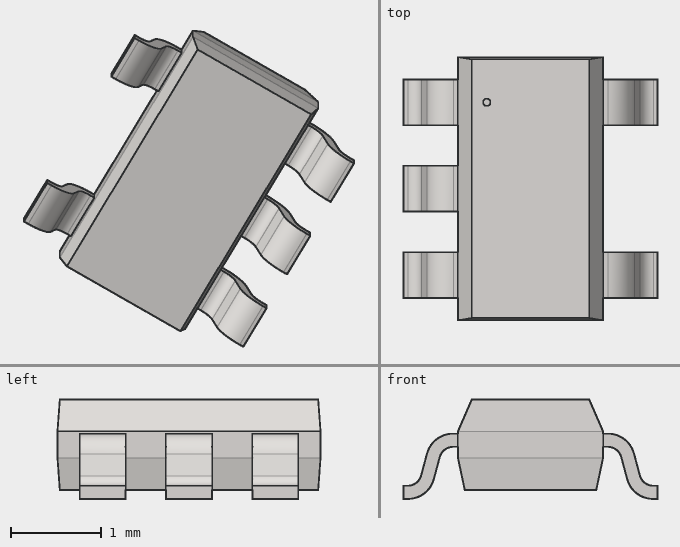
import cadquery as cq
import math

OVERALL_SPAN = 2.8
OVERALL_HEIGHT = 1.1

BODY_WIDTH = 1.6
BODY_LENGTH = 2.9
STANDOFF = 0.1
BELT_BOTTOM = 0.455
BELT_TOP = 0.745
TOP_INSET_X = 0.155
BOTTOM_INSET_X = 0.075
INSET_Y = 0.025

LEAD_WIDTH = 0.508
LEAD_THICKNESS = 0.148
LEAD_TOP = 0.722
LEAD_PITCH = 0.95
LEAD_SLOPE = math.radians(75)
BEND_INNER_RADIUS = 0.15
BEND_RADIUS = BEND_INNER_RADIUS + LEAD_THICKNESS / 2
FOOT_FLAT = 0.05

MARK_DIAMETER = 0.08
MARK_DEPTH = 0.03
MARK_X = -0.48
MARK_Y = LEAD_PITCH


def make_frustum(start_z, end_z, inset_x):
    """Half of the housing, shrinking from the belt outline at start_z to end_z."""
    return (
        cq.Workplane("XY")
        .workplane(offset=start_z)
        .rect(BODY_WIDTH, BODY_LENGTH)
        .workplane(offset=end_z - start_z)
        .rect(BODY_WIDTH - 2 * inset_x, BODY_LENGTH - 2 * INSET_Y)
        .loft(ruled=True)
    )


def make_mark():
    return (
        cq.Workplane("XY")
        .workplane(offset=OVERALL_HEIGHT - MARK_DEPTH)
        .center(MARK_X, MARK_Y)
        .circle(MARK_DIAMETER / 2)
        .extrude(MARK_DEPTH)
    )


def make_housing():
    belt = (
        cq.Workplane("XY")
        .workplane(offset=BELT_BOTTOM)
        .rect(BODY_WIDTH, BODY_LENGTH)
        .extrude(BELT_TOP - BELT_BOTTOM)
    )
    upper_half = make_frustum(BELT_TOP, OVERALL_HEIGHT, TOP_INSET_X)
    lower_half = make_frustum(BELT_BOTTOM, STANDOFF, BOTTOM_INSET_X)
    return belt.union(upper_half).union(lower_half).cut(make_mark())


def make_left_lead(y):
    """Lead on the -X side: a strip swept along foot, bend, slope, bend and root."""
    tip_x = -OVERALL_SPAN / 2
    foot_z = LEAD_THICKNESS / 2
    root_z = LEAD_TOP - LEAD_THICKNESS / 2

    bend_run = BEND_RADIUS * math.sin(LEAD_SLOPE)
    bend_rise = BEND_RADIUS * (1 - math.cos(LEAD_SLOPE))
    slope_rise = root_z - foot_z - 2 * bend_rise
    slope_run = slope_rise / math.tan(LEAD_SLOPE)

    lower_bend_x = tip_x + FOOT_FLAT
    slope_start = (lower_bend_x + bend_run, foot_z + bend_rise)
    slope_end = (slope_start[0] + slope_run, slope_start[1] + slope_rise)
    upper_bend_x = slope_end[0] + bend_run

    centreline = (
        cq.Workplane("XZ", origin=(0, y, 0))
        .moveTo(tip_x, foot_z)
        .lineTo(lower_bend_x, foot_z)
        .tangentArcPoint(slope_start, relative=False)
        .lineTo(*slope_end)
        .tangentArcPoint((upper_bend_x, root_z), relative=False)
        .lineTo(-BODY_WIDTH / 2, root_z)
    )
    return (
        cq.Workplane("YZ", origin=(tip_x, y, foot_z))
        .rect(LEAD_WIDTH, LEAD_THICKNESS)
        .sweep(centreline)
    )


def make_leads():
    """Three leads on the -X side and the outer two on the +X side."""
    leads = []
    for row in (-1, 0, 1):
        left_lead = make_left_lead(row * LEAD_PITCH)
        leads.append(left_lead.val())
        if row != 0:
            leads.append(left_lead.mirror("YZ").val())
    return leads


housing = make_housing()
mark = make_mark()
leads = make_leads()

result = cq.Compound.makeCompound([housing.val(), mark.val(), *leads])